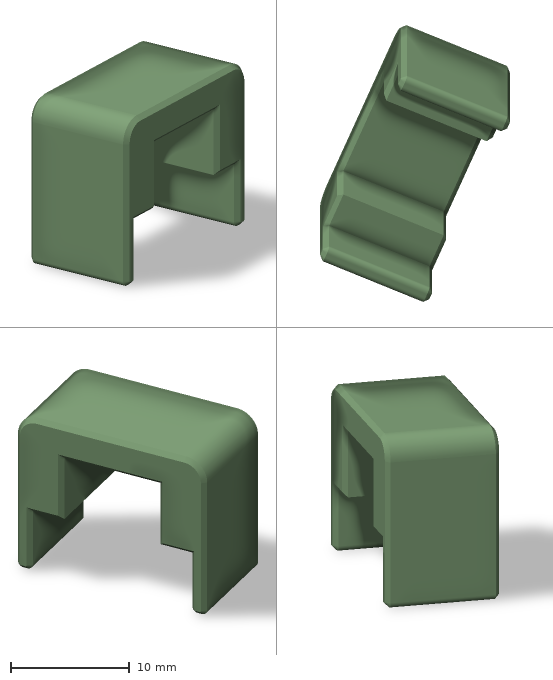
import cadquery as cq

length_x = 10.0
width_y = 18.03
height_z = 14.95

leg_thickness = 1.4
slot_width = 9.16
slot_roof_depth = 3.23
step_depth = 9.2
top_radius = 2.0
tip_radius = 0.5

end_chamfer = 0.4

leg_gap = width_y - 2 * leg_thickness
roof_z = height_z - slot_roof_depth
step_z = height_z - step_depth


def full_length_block(width, height):
    """Block over the whole X length, centred in Y and standing on Z = 0."""
    return cq.Workplane("XY").box(length_x, width, height, centered=(True, True, False))


body = (
    full_length_block(width_y, height_z)
    .cut(full_length_block(leg_gap, step_z))
    .cut(full_length_block(slot_width, roof_z))
)

body = body.faces(">Z").edges("|X").fillet(top_radius)
body = body.faces("<Z").edges("|X").fillet(tip_radius)

result = body.faces("<X or >X").edges().chamfer(end_chamfer)